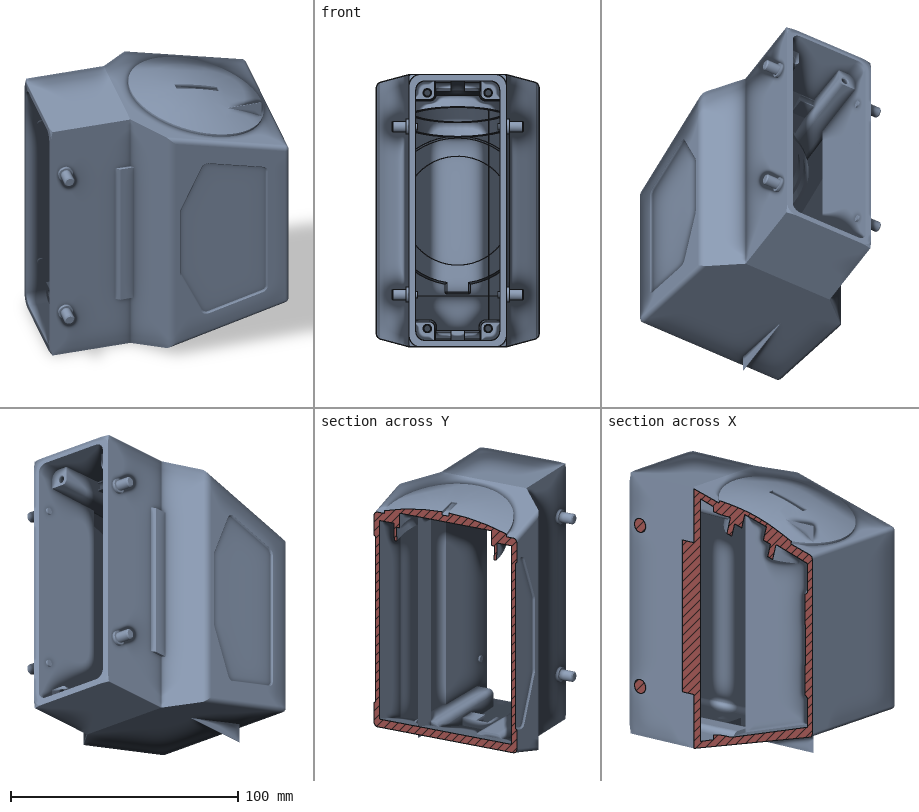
import cadquery as cq
import math

DEPTH = 105.0
HALF_HEIGHT = 60.0
BODY_HALF_WIDTH = 36.0
NECK_HALF_WIDTH = 21.4
NECK_DEPTH = 36.3
SLOPE_ANGLE = 15.0
WALL = 2.9
BODY_EDGE_RADIUS = 2.0
SHOULDER_RADIUS = 4.6
ROOM_SLOPE_ANGLE = 16.5
SLOPE = math.tan(math.radians(SLOPE_ANGLE))
ROOM_SLOPE = math.tan(math.radians(ROOM_SLOPE_ANGLE))

LIP_DEPTH = 0.6
LIP_FLARE_ANGLE = 70.0
LIP_CORNER_RADIUS = 5.0
MOUTH_CORNER_RADIUS = 4.0
FRONT_CLEARANCE = 1.0
MOUTH_HALF_WIDTH = NECK_HALF_WIDTH - WALL
MOUTH_HALF_HEIGHT = HALF_HEIGHT - WALL

BOSS_FRONT = 9.0
BOSS_BACK = 60.0
BOSS_INNER_X = 10.2
BOSS_INNER_Z = 49.0
BOSS_CORNER_RADIUS = 2.2
BOSS_FOOT_SPREAD = 0.9
SCREW_X = 13.4
SCREW_Z = 51.9
SCREW_HOLE_RADIUS = 1.5
SCREW_HOLE_DEPTH = 15.0
SCREW_HOLE_CHAMFER = 0.35

BAR_FRONT = 30.0
BAR_BACK = 38.0
BAR_INNER_Z = 52.8
BAR_GROOVE_Z = 55.0
BAR_GROOVE_RADIUS = 1.5
RAMP_HALF_WIDTH = 2.9

SADDLE_LENGTH = 8.0

PIN_Y = 6.4
PIN_Z = 37.0
PIN_RADIUS = 2.35
PIN_TIP_X = 29.0
PIN_TIP_CHAMFER = 0.5
COLLAR_RADIUS = 3.3
COLLAR_HEIGHT = 1.3
STUB_RADIUS = 1.5
STUB_HEIGHT = 0.8

PAD_HEIGHT = 1.3
PAD_FRONT = 29.4
PAD_RAMP_LENGTH = 1.9
PAD_HALF_LENGTH = 35.0

PANEL_FRONT = 54.9
PANEL_KINK = 65.7
PANEL_BACK = 95.0
PANEL_FRONT_HALF_HEIGHT = 17.2
PANEL_DROP = 11.2
PANEL_DEPTH = 0.8
PANEL_CORNER_RADIUS = 3.0
PANEL_CHAMFER = 0.9 * PANEL_DEPTH

CAP_Y = 72.1
CAP_RADIUS = 30.8
CAP_RIM_HEIGHT = 1.2
CAP_DOME_HEIGHT = 4.6
SLOT_WIDTH = 3.2
SLOT_LENGTH = 20.2
SLOT_DEPTH = 1.5
SLOT_OFFSET = -0.7
SKIRT_LENGTH = 11.7
SKIRT_OUTER_RADIUS = 26.0
SKIRT_BORE_RADIUS = 24.5
SKIRT_BORE_DEPTH = 6.2
SKIRT_NARROW_RADIUS = 23.0
CAP_HOLLOW_HEIGHT = 1.2

BACK_PAD_RADIUS = 32.0
BACK_PAD_HEIGHT = 1.5
BACK_PAD_TAPER = 30.0
BACK_PAD_FOOT_HALF_WIDTH = 4.7
BACK_PAD_FOOT_Z = -35.8
BACK_DISC_RADIUS = 24.0
BACK_DISC_DEPTH = 0.2

FIN_X = 13.6
FIN_THICKNESS = 0.2
FIN_FRONT = 60.0
FIN_BACK = 98.6
FIN_HALF_HEIGHT = 52.1


def block(x_range, y_range, z_range):
    """Axis-aligned box between the given limits."""
    sizes = [high - low for low, high in (x_range, y_range, z_range)]
    corner = (x_range[0], y_range[0], z_range[0])
    return cq.Workplane("XY").box(*sizes, centered=False).translate(corner)


def facing_back(y):
    """XZ workplane at the given Y; extrusion runs toward +Y and local x is -X."""
    return cq.Workplane(cq.Plane((0, y, 0), (-1, 0, 0), (0, 1, 0)))


def outer_half_height(y):
    """Height of the sloped outer face above the symmetry plane."""
    return HALF_HEIGHT - SLOPE * (y - NECK_DEPTH)


def tapered_prism(half_width, fold_half_height, front, fold, back, slope=SLOPE):
    """Side profile with sloped top and bottom, extruded across X."""
    back_half_height = fold_half_height - slope * (back - fold)
    profile = [
        (front, -fold_half_height),
        (fold, -fold_half_height),
        (back, -back_half_height),
        (back, back_half_height),
        (fold, fold_half_height),
        (front, fold_half_height),
    ]
    return cq.Workplane("YZ").polyline(profile).close().extrude(half_width, both=True)


def plan_prism(neck_half, body_half, front, shoulder, back):
    """Plan outline with 45 degree shoulders, extruded across the full height."""
    shoulder_end = shoulder + body_half - neck_half
    right_side = [
        (neck_half, front),
        (neck_half, shoulder),
        (body_half, shoulder_end),
        (body_half, back),
    ]
    left_side = [(-x, y) for x, y in reversed(right_side)]
    outline = cq.Workplane("XY").polyline(right_side + left_side).close()
    return outline.extrude(HALF_HEIGHT, both=True)


def neck_length_block(half_width):
    """Full-height block as deep as the neck."""
    return block((-half_width, half_width), (0, NECK_DEPTH), (-HALF_HEIGHT, HALF_HEIGHT))


def make_shell_outside():
    """Edge-rounded wedge trimmed to the shouldered plan, joined to the square neck."""
    wedge = tapered_prism(BODY_HALF_WIDTH, HALF_HEIGHT, 0, NECK_DEPTH, DEPTH)
    wedge = wedge.cut(neck_length_block(BODY_HALF_WIDTH))
    wedge = wedge.edges("not <Y").fillet(BODY_EDGE_RADIUS)
    plan = plan_prism(NECK_HALF_WIDTH, BODY_HALF_WIDTH, 0, NECK_DEPTH, DEPTH)
    shoulder_end = NECK_DEPTH + BODY_HALF_WIDTH - NECK_HALF_WIDTH
    for side in (-1, 1):
        corner = cq.selectors.NearestToPointSelector((side * BODY_HALF_WIDTH, shoulder_end, 0))
        plan = plan.edges(corner).fillet(SHOULDER_RADIUS)
    return wedge.intersect(plan).union(neck_length_block(NECK_HALF_WIDTH))


def make_lip_trim():
    """Material removed at the front corners, fading out from a rounded outline to a square one."""
    flared = facing_back(0).sketch().rect(2 * NECK_HALF_WIDTH, 2 * HALF_HEIGHT)
    flared = flared.vertices().fillet(LIP_CORNER_RADIUS).finalize()
    flared = flared.extrude(LIP_DEPTH, taper=-LIP_FLARE_ANGLE)
    square = facing_back(0).rect(2 * NECK_HALF_WIDTH, 2 * HALF_HEIGHT).extrude(LIP_DEPTH)
    return square.cut(flared)


def make_room():
    """Space inside the walls, reaching out past the front face."""
    shoulder = NECK_DEPTH + WALL * math.tan(math.radians(45 / 2))
    back = DEPTH - WALL
    body_half = BODY_HALF_WIDTH - WALL
    fold = NECK_DEPTH - WALL * math.tan(math.radians(SLOPE_ANGLE / 2))
    room = tapered_prism(body_half, MOUTH_HALF_HEIGHT, fold - WALL, fold, back, ROOM_SLOPE)
    room = room.intersect(plan_prism(MOUTH_HALF_WIDTH, body_half, 0, shoulder, back))
    mouth = facing_back(-FRONT_CLEARANCE).rect(2 * MOUTH_HALF_WIDTH, 2 * MOUTH_HALF_HEIGHT)
    mouth = mouth.extrude(fold + FRONT_CLEARANCE)
    return room.union(mouth.edges("|Y").fillet(MOUTH_CORNER_RADIUS))


def make_boss(side, level):
    """Corner boss whose free faces flare outward behind its front edge."""
    width = NECK_HALF_WIDTH - BOSS_INNER_X
    height = HALF_HEIGHT - BOSS_INNER_Z
    taper = -math.degrees(math.atan(BOSS_FOOT_SPREAD / (BOSS_BACK - BOSS_FRONT)))
    boss = (
        facing_back(BOSS_FRONT)
        .center(-side * (BOSS_INNER_X + width / 2), level * (BOSS_INNER_Z + height / 2))
        .sketch()
        .rect(width, height)
        .vertices()
        .fillet(BOSS_CORNER_RADIUS)
        .finalize()
        .extrude(BOSS_BACK - BOSS_FRONT, taper=taper)
    )
    return boss


def make_screw_hole(side, level):
    """Blind screw hole with a small countersink at the boss front."""
    hole = (
        facing_back(BOSS_FRONT)
        .center(-side * SCREW_X, level * SCREW_Z)
        .circle(SCREW_HOLE_RADIUS)
        .extrude(SCREW_HOLE_DEPTH)
    )
    mouth_radius = SCREW_HOLE_RADIUS + SCREW_HOLE_CHAMFER
    countersink = (
        facing_back(BOSS_FRONT)
        .center(-side * SCREW_X, level * SCREW_Z)
        .circle(mouth_radius)
        .extrude(SCREW_HOLE_CHAMFER, taper=45)
    )
    return hole.union(countersink)


def make_crossbar(level):
    """Grooved bar on the neck wall whose middle is a ramp facing the mouth."""
    root_z = HALF_HEIGHT - WALL / 2
    bar = block((-BOSS_INNER_X, BOSS_INNER_X), (BAR_FRONT, BAR_BACK), (BAR_INNER_Z, root_z))
    groove = (
        cq.Workplane("YZ")
        .center(BAR_FRONT, BAR_GROOVE_Z)
        .circle(BAR_GROOVE_RADIUS)
        .extrude(BOSS_INNER_X, both=True)
    )
    middle = block(
        (-RAMP_HALF_WIDTH, RAMP_HALF_WIDTH), (BAR_FRONT, BAR_BACK), (BAR_INNER_Z, root_z)
    )
    ramp = (
        cq.Workplane("YZ")
        .polyline([(BAR_FRONT, MOUTH_HALF_HEIGHT), (BAR_BACK, BAR_INNER_Z), (BAR_BACK, root_z)])
        .close()
        .extrude(RAMP_HALF_WIDTH, both=True)
    )
    bar = bar.cut(groove).cut(middle).union(ramp)
    return bar if level > 0 else bar.mirror("XY")


def make_saddle():
    """Ceiling pad that follows the roof slope from the upper crossbar to the skirt."""
    back = BAR_BACK + SADDLE_LENGTH
    profile = [
        (BAR_BACK, HALF_HEIGHT - WALL / 2),
        (BAR_BACK, BAR_INNER_Z),
        (back, BAR_INNER_Z - SLOPE * SADDLE_LENGTH),
        (back, HALF_HEIGHT - WALL / 2),
    ]
    return cq.Workplane("YZ").polyline(profile).close().extrude(BOSS_INNER_X, both=True)


def make_pin(side, level):
    """Locking pin with a collar outside and a riveted stub inside."""
    profile = [
        (MOUTH_HALF_WIDTH - STUB_HEIGHT, 0),
        (MOUTH_HALF_WIDTH - STUB_HEIGHT, STUB_RADIUS),
        (NECK_HALF_WIDTH - WALL / 2, STUB_RADIUS),
        (NECK_HALF_WIDTH - WALL / 2, COLLAR_RADIUS),
        (NECK_HALF_WIDTH + COLLAR_HEIGHT, COLLAR_RADIUS),
        (NECK_HALF_WIDTH + COLLAR_HEIGHT, PIN_RADIUS),
        (PIN_TIP_X - PIN_TIP_CHAMFER, PIN_RADIUS),
        (PIN_TIP_X, PIN_RADIUS - PIN_TIP_CHAMFER),
        (PIN_TIP_X, 0),
    ]
    points = [(side * x, radius) for x, radius in profile]
    pin = cq.Workplane("XY").polyline(points).close().revolve(360, (0, 0), (1, 0))
    return pin.translate((0, PIN_Y, level * PIN_Z))


def make_stop_pad():
    """Raised pad on the neck side with a ramp at its front."""
    outer_x = NECK_HALF_WIDTH + PAD_HEIGHT
    root_x = NECK_HALF_WIDTH - WALL / 2
    profile = [
        (root_x, PAD_FRONT),
        (NECK_HALF_WIDTH, PAD_FRONT),
        (outer_x, PAD_FRONT + PAD_RAMP_LENGTH),
        (outer_x, NECK_DEPTH + PAD_HEIGHT),
        (root_x, NECK_DEPTH),
    ]
    return cq.Workplane("XY").polyline(profile).close().extrude(PAD_HALF_LENGTH, both=True)


def make_panel_recess(side):
    """Six-sided recess whose top and bottom run parallel to the sloped faces."""
    upper = [
        (PANEL_FRONT, PANEL_FRONT_HALF_HEIGHT),
        (PANEL_KINK, outer_half_height(PANEL_KINK) - PANEL_DROP),
        (PANEL_BACK, outer_half_height(PANEL_BACK) - PANEL_DROP),
    ]
    lower = [(y, -z) for y, z in reversed(upper)]
    recess = (
        cq.Workplane("YZ")
        .polyline(upper + lower)
        .close()
        .extrude(PANEL_DEPTH)
        .edges("|X")
        .fillet(PANEL_CORNER_RADIUS)
        .faces("<X")
        .edges()
        .chamfer(PANEL_CHAMFER)
        .translate((BODY_HALF_WIDTH - PANEL_DEPTH, 0, 0))
    )
    return recess if side > 0 else recess.mirror("YZ")


def cap_plane():
    """Plane on the sloped top at the cap axis; local y runs down the slope toward the back."""
    tilt = math.radians(SLOPE_ANGLE)
    origin = (0, CAP_Y, outer_half_height(CAP_Y))
    return cq.Plane(origin, (1, 0, 0), (0, math.sin(tilt), math.cos(tilt)))


def revolve_on_cap_axis(points):
    """Solid of revolution about the cap axis from (radius, height) points."""
    solid = cq.Workplane("XZ").polyline(points).close().revolve(360, (0, 0), (0, 1))
    return cq.Workplane(solid.val().moved(cap_plane().location))


def make_cap():
    """Domed cap with a short rim and a coin slot, seated in the sloped wall."""
    dome = (
        cq.Workplane("XZ")
        .moveTo(0, -WALL)
        .lineTo(CAP_RADIUS - WALL, -WALL)
        .lineTo(CAP_RADIUS, 0)
        .lineTo(CAP_RADIUS, CAP_RIM_HEIGHT)
    )
    dome_radius = (CAP_RADIUS**2 + CAP_DOME_HEIGHT**2) / (2 * CAP_DOME_HEIGHT)
    half_angle = math.asin(CAP_RADIUS / dome_radius) / 2
    middle_drop = dome_radius * (1 - math.cos(half_angle))
    peak = CAP_RIM_HEIGHT + CAP_DOME_HEIGHT
    middle = (dome_radius * math.sin(half_angle), peak - middle_drop)
    dome = dome.threePointArc(middle, (0, peak)).close().revolve(360, (0, 0), (0, 1))
    slot = (
        cq.Workplane("XY")
        .box(SLOT_WIDTH, SLOT_LENGTH, 2 * SLOT_DEPTH)
        .translate((0, SLOT_OFFSET, peak))
    )
    cap = dome.cut(slot)
    return cq.Workplane(cap.val().moved(cap_plane().location))


def make_skirt():
    """Cylinder hanging from the sloped top below the cap."""
    return revolve_on_cap_axis([
        (0, 0),
        (SKIRT_OUTER_RADIUS, 0),
        (SKIRT_OUTER_RADIUS, -SKIRT_LENGTH),
        (0, -SKIRT_LENGTH),
    ])


def make_skirt_bore():
    """Stepped hollow of the skirt, reaching up into the cap."""
    step = SKIRT_BORE_DEPTH - SKIRT_LENGTH
    return revolve_on_cap_axis([
        (0, -SKIRT_LENGTH),
        (SKIRT_BORE_RADIUS, -SKIRT_LENGTH),
        (SKIRT_BORE_RADIUS, step),
        (SKIRT_NARROW_RADIUS, step),
        (SKIRT_NARROW_RADIUS, CAP_HOLLOW_HEIGHT),
        (0, CAP_HOLLOW_HEIGHT),
    ])


def make_back_pad():
    """Round pad with flared sides, a foot below it and a shallow disc sunk in its face."""
    front = DEPTH - WALL - BACK_PAD_HEIGHT
    length = BACK_PAD_HEIGHT + WALL / 2
    pad = facing_back(front).circle(BACK_PAD_RADIUS).extrude(length, taper=-BACK_PAD_TAPER)
    foot = facing_back(front).center(0, BACK_PAD_FOOT_Z / 2)
    foot = foot.rect(2 * BACK_PAD_FOOT_HALF_WIDTH, -BACK_PAD_FOOT_Z)
    foot = foot.extrude(length, taper=-BACK_PAD_TAPER)
    shallow_disc = facing_back(front).circle(BACK_DISC_RADIUS).extrude(BACK_DISC_DEPTH)
    return pad.union(foot).cut(shallow_disc)


def make_fin():
    """Thin upright plate that pokes out through the cap and the bottom wall."""
    half = FIN_THICKNESS / 2
    return block(
        (FIN_X - half, FIN_X + half),
        (FIN_FRONT, FIN_BACK),
        (-FIN_HALF_HEIGHT, FIN_HALF_HEIGHT),
    )


room = make_room().cut(make_back_pad()).cut(make_skirt()).cut(make_saddle())
for level in (-1, 1):
    room = room.cut(make_crossbar(level))
    for side in (-1, 1):
        room = room.cut(make_boss(side, level))

housing = make_shell_outside().cut(make_lip_trim()).cut(room)
housing = housing.union(make_cap()).cut(make_skirt_bore())

for side in (-1, 1):
    housing = housing.cut(make_panel_recess(side))
    for level in (-1, 1):
        housing = housing.cut(make_screw_hole(side, level))
        housing = housing.union(make_pin(side, level))

result = housing.union(make_stop_pad()).union(make_fin())